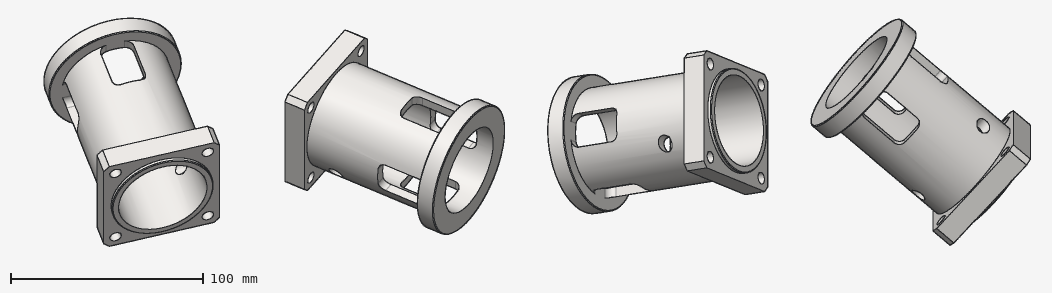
import cadquery as cq

length = 95.0
bore_diameter = 48.0
tube_diameter = 58.0

flange_diameter = 72.0
flange_thickness = 10.0
edge_chamfer = 0.5

plate_side = 63.0
plate_thickness = 12.0
plate_corner_chamfer = 3.0
plate_hole_diameter = 6.2
plate_hole_spacing = 50.1

pilot_diameter = 55.0
pilot_length = 2.0
plate_end = length - pilot_length
plate_start = plate_end - plate_thickness

window_length = 28.0
window_width = 18.05
window_corner_radius = 4.0
window_center = flange_thickness + window_length / 2

cross_hole_diameter = 8.0
cross_hole_x = 65.6
cross_hole_z = -13.9

through_all = 2 * flange_diameter


def cylinder(diameter, start, end):
    """Solid cylinder on the X axis between two X positions."""
    return cq.Workplane("YZ").workplane(offset=start).circle(diameter / 2).extrude(end - start)


def make_plate():
    """Square plate with chamfered corners and four corner holes."""
    plate = (
        cq.Workplane("YZ")
        .workplane(offset=plate_start)
        .rect(plate_side, plate_side)
        .extrude(plate_thickness)
        .edges("|X")
        .chamfer(plate_corner_chamfer)
    )
    holes = (
        cq.Workplane("YZ")
        .workplane(offset=plate_start)
        .rect(plate_hole_spacing, plate_hole_spacing, forConstruction=True)
        .vertices()
        .circle(plate_hole_diameter / 2)
        .extrude(plate_thickness)
    )
    return plate.cut(holes)


def window_pair(plane):
    """Rounded rectangular cutter through both opposite walls, normal to the given plane."""
    return (
        cq.Workplane(plane)
        .center(window_center, 0)
        .rect(window_length, window_width)
        .extrude(through_all / 2, both=True)
        .edges("|Y" if plane == "XZ" else "|Z")
        .fillet(window_corner_radius)
    )


flange = cylinder(flange_diameter, 0, flange_thickness).edges().chamfer(edge_chamfer)
tube = cylinder(tube_diameter, edge_chamfer, plate_end)
pilot = cylinder(pilot_diameter, plate_start, length).faces(">X").edges().chamfer(edge_chamfer)
body = flange.union(tube).union(make_plate()).union(pilot)

body = body.cut(cylinder(bore_diameter, 0, length))

for plane in ("XZ", "XY"):
    body = body.cut(window_pair(plane))

cross_hole = (
    cq.Workplane("XZ")
    .center(cross_hole_x, cross_hole_z)
    .circle(cross_hole_diameter / 2)
    .extrude(through_all / 2, both=True)
)
result = body.cut(cross_hole)